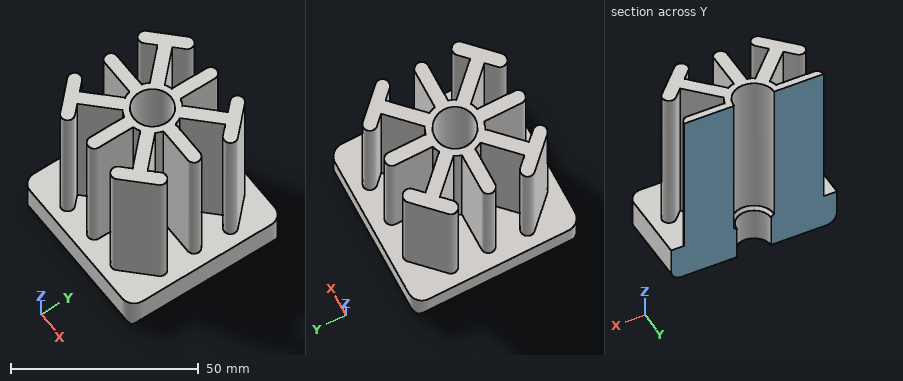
import cadquery as cq

total_height = 55.0
base_side = 50.0
base_height = 11.0
base_corner_radius = 4.0
base_edge_radius = 3.3

hub_diameter = 16.0
rib_width = 4.0
straight_rib_reach = 21.0
diagonal_rib_reach = 24.0
crossbar_length = 15.35
insert_height = total_height - base_height

bore_top_diameter = 12.0
bore_bottom_diameter = 10.1


def make_base():
    """Square plate with mitred rounded bottom edges and rounded upright corners."""
    plate = cq.Workplane("XY").box(base_side, base_side, base_height, centered=(True, True, False))
    rounded_bottom = plate.faces("<Z").edges().fillet(base_edge_radius)
    rounded_corners = plate.edges("|Z").fillet(base_corner_radius)
    return rounded_bottom.intersect(rounded_corners)


def insert_plane():
    return cq.Workplane("XY").workplane(offset=base_height)


def make_straight_ribs():
    """Cross of four ribs along X and Y with full-round tips."""
    ribs = insert_plane()
    for angle in (0, 90):
        ribs = ribs.union(insert_plane().slot2D(2 * straight_rib_reach, rib_width, angle).extrude(insert_height))
    return ribs


def make_diagonal_rib(angle):
    """Rib from the axis to a round-ended crossbar, forming a T."""
    bar_center = diagonal_rib_reach - rib_width / 2
    web = insert_plane().center(bar_center / 2, 0).rect(bar_center, rib_width).extrude(insert_height)
    crossbar = insert_plane().center(bar_center, 0).slot2D(crossbar_length, rib_width, 90).extrude(insert_height)
    return web.union(crossbar).rotate((0, 0, 0), (0, 0, 1), angle)


def make_bore():
    """Wide bore down the hub, a 45 degree shoulder in the base, and a narrow bore through it."""
    top_radius = bore_top_diameter / 2
    bottom_radius = bore_bottom_diameter / 2
    shoulder_bottom = base_height - (top_radius - bottom_radius)
    profile = cq.Workplane("XZ").polyline(
        [
            (0, 0),
            (bottom_radius, 0),
            (bottom_radius, shoulder_bottom),
            (top_radius, base_height),
            (top_radius, total_height),
            (0, total_height),
        ]
    )
    return profile.close().revolve(360, (0, 0), (0, 1))


hub = insert_plane().circle(hub_diameter / 2).extrude(insert_height)
result = make_base().union(hub).union(make_straight_ribs())
for diagonal_angle in (45, 135, 225, 315):
    result = result.union(make_diagonal_rib(diagonal_angle))
result = result.cut(make_bore())